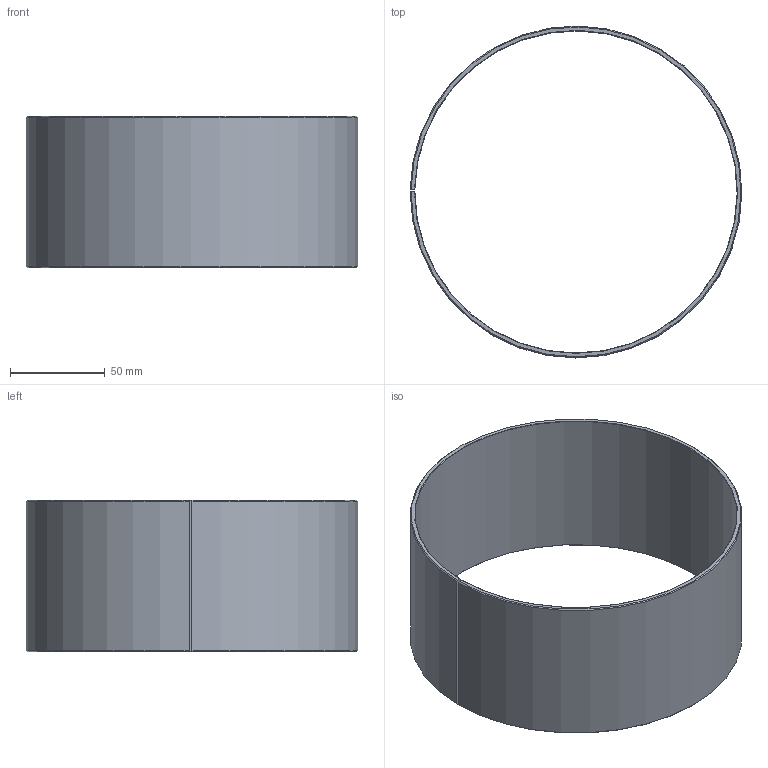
import cadquery as cq

outer_diameter = 175.0
wall_thickness = 2.5
height = 80.0
outer_chamfer = 0.5
inner_chamfer = 0.2
slit_angle = 1.0

outer_radius = outer_diameter / 2
inner_radius = outer_radius - wall_thickness


def make_wall_section():
    """Wall cross-section on the -X side, with both rims chamfered inside and out."""
    outer_x = -outer_radius
    inner_x = -inner_radius
    corners = [
        (outer_x + outer_chamfer, 0),
        (outer_x, outer_chamfer),
        (outer_x, height - outer_chamfer),
        (outer_x + outer_chamfer, height),
        (inner_x - inner_chamfer, height),
        (inner_x, height - inner_chamfer),
        (inner_x, inner_chamfer),
        (inner_x - inner_chamfer, 0),
    ]
    return cq.Workplane("XZ").polyline(corners).close()


def make_split_ring():
    """Sweep the wall about Z from the -X side, leaving a narrow slit open on the +Y side of it."""
    axis_start = (0, 0)
    axis_end = (0, 1)
    return make_wall_section().revolve(360 - slit_angle, axis_start, axis_end)


result = make_split_ring()